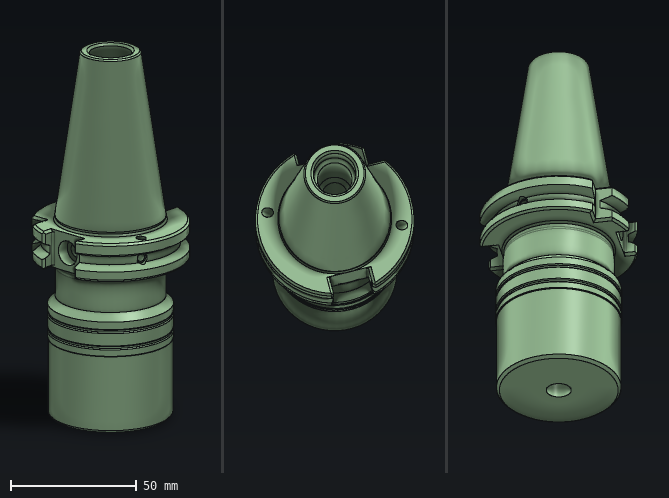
import cadquery as cq
import math


total_length = 153.2
taper_length = 68.3
taper_ratio = 7 / 24
gauge_diameter = 44.5
gauge_z = total_length - taper_length
taper_bottom_z = 84.0
small_end_chamfer = 0.6

flange_diameter = 63.6
flange_radius = flange_diameter / 2
flange_top_z = 82.1
flange_thickness = 16.1
flange_bottom_z = flange_top_z - flange_thickness
flange_chamfer = 0.9
flange_root_diameter = 45.5
relief_diameter = 44.0
relief_flare_height = 0.9
groove_diameter = 56.0
groove_center_z = 73.9
groove_floor_width = 3.4
groove_mouth_width = 7.0

neck_diameter = 44.5
neck_relief_end_z = 63.6
neck_top_z = 62.5
shoulder_top_z = 50.1
shoulder_bottom_z = 47.0

collar_diameter = 50.5
collar_bottom_z = 32.6
nose_diameter = 50.0
nose_chamfer = 1.2
ring_groove_depth = 0.5
ring_groove_mouth_width = 1.7
ring_groove_floor_width = 0.8
ring_groove_centers_z = (43.0, 36.2)

entry_diameter = 19.0
counterbore_diameter = 17.0
counterbore_depth = 8.0
thread_diameter = 13.8
thread_depth = 32.2
bore_diameter = 10.0
drill_point_angle = 118
countersink_angle = 90

slot_width = 16.1
front_slot_floor_distance = 25.1
back_slot_floor_distance = 22.7
slot_corner_radius = 0.8
cut_edge_chamfer = 1.0
notch_wall_distance = 18.8

pocket_diameter = 10.1
pocket_depth = 5.2
pocket_drill_diameter = 6.0

coolant_diameter = 3.8
coolant_tilt = 35
coolant_pitch_radius = 27.0
coolant_angles = (160, 340)
outlet_diameter = 4.5
outlet_depth = 1.2
outlet_drill_diameter = 3.2


def revolve_profile(points):
    """Revolve an (r, z) outline about the Z axis."""
    return cq.Workplane("XZ").polyline(points).close().revolve(360, (0, 0), (0, 1))


def cone_height(large_diameter, small_diameter, full_angle):
    """Axial length of a cone between two diameters."""
    return (large_diameter - small_diameter) / 2 / math.tan(math.radians(full_angle / 2))


def taper_radius(z):
    return (gauge_diameter - taper_ratio * (z - gauge_z)) / 2


def make_turned_body():
    chamfer_z = total_length - small_end_chamfer
    step = (collar_diameter - nose_diameter) / 2
    points = [
        (0, 0),
        (nose_diameter / 2 - nose_chamfer, 0),
        (nose_diameter / 2, nose_chamfer),
        (nose_diameter / 2, collar_bottom_z - step),
        (collar_diameter / 2, collar_bottom_z),
        (collar_diameter / 2, shoulder_bottom_z),
        (neck_diameter / 2, shoulder_top_z),
        (neck_diameter / 2, neck_top_z),
        (relief_diameter / 2, neck_relief_end_z),
        (relief_diameter / 2, flange_bottom_z - relief_flare_height),
        (flange_root_diameter / 2, flange_bottom_z),
        (flange_radius - flange_chamfer, flange_bottom_z),
        (flange_radius, flange_bottom_z + flange_chamfer),
        (flange_radius, flange_top_z - flange_chamfer),
        (flange_radius - flange_chamfer, flange_top_z),
        (flange_root_diameter / 2, flange_top_z),
        (relief_diameter / 2, flange_top_z + relief_flare_height),
        (taper_radius(taper_bottom_z), taper_bottom_z),
        (taper_radius(chamfer_z), chamfer_z),
        (taper_radius(chamfer_z) - small_end_chamfer, total_length),
        (0, total_length),
    ]
    return revolve_profile(points)


def make_ring_cut(center_z, floor_radius, rim_radius, floor_width, mouth_width):
    """Ring with sloped flanks that cuts a groove open to the outside."""
    points = [
        (floor_radius, center_z - floor_width / 2),
        (rim_radius, center_z - mouth_width / 2),
        (rim_radius, center_z + mouth_width / 2),
        (floor_radius, center_z + floor_width / 2),
    ]
    return revolve_profile(points)


def make_bore():
    counterbore_z = total_length - counterbore_depth
    thread_bottom_z = total_length - thread_depth
    entry_z = total_length - cone_height(entry_diameter, counterbore_diameter, countersink_angle)
    thread_top_z = counterbore_z - cone_height(counterbore_diameter, thread_diameter, countersink_angle)
    drill_end_z = thread_bottom_z - cone_height(thread_diameter, bore_diameter, drill_point_angle)
    points = [
        (0, 0),
        (bore_diameter / 2, 0),
        (bore_diameter / 2, drill_end_z),
        (thread_diameter / 2, thread_bottom_z),
        (thread_diameter / 2, thread_top_z),
        (counterbore_diameter / 2, counterbore_z),
        (counterbore_diameter / 2, entry_z),
        (entry_diameter / 2, total_length),
        (0, total_length),
    ]
    return revolve_profile(points)


def make_slot_cut(floor_distance):
    """Slot on the -Y side: rounded floor corners, walls chamfered at every outer edge."""
    half_width = slot_width / 2
    flared_half_width = half_width + cut_edge_chamfer
    length = flange_diameter - floor_distance
    slot = (
        cq.Workplane("XY")
        .box(slot_width, length, flange_thickness, centered=(True, False, False))
        .edges(">Y and |Z")
        .fillet(slot_corner_radius)
        .translate((0, -floor_distance - length, flange_bottom_z))
    )

    for edge_z, inward in ((flange_top_z, -1), (flange_bottom_z, 1)):
        flare = (
            cq.Workplane("XZ", origin=(0, -floor_distance, 0))
            .polyline([
                (-flared_half_width, edge_z),
                (flared_half_width, edge_z),
                (half_width, edge_z + inward * cut_edge_chamfer),
                (-half_width, edge_z + inward * cut_edge_chamfer),
            ])
            .close()
            .extrude(length)
        )
        slot = slot.union(flare)

    rim_y = -math.sqrt(flange_radius**2 - flared_half_width**2)
    mouth = (
        cq.Workplane("XY", origin=(0, 0, flange_bottom_z))
        .polyline([
            (-half_width, rim_y + cut_edge_chamfer),
            (half_width, rim_y + cut_edge_chamfer),
            (flared_half_width, rim_y),
            (flared_half_width, -flange_radius),
            (-flared_half_width, -flange_radius),
            (-flared_half_width, rim_y),
        ])
        .close()
        .extrude(flange_thickness)
    )
    return slot.union(mouth)


def make_notch_cut():
    """Square corner notch at -X -Y, chamfered along its top and bottom edges."""
    size = flange_diameter - notch_wall_distance
    center = -notch_wall_distance - size / 2
    notch = (
        cq.Workplane("XY", origin=(center, center, flange_bottom_z))
        .rect(size, size)
        .extrude(flange_thickness)
    )
    for edge_z, inward in ((flange_top_z, -1), (flange_bottom_z, 1)):
        flared_size = size + 2 * cut_edge_chamfer
        flare = (
            cq.Workplane("XY", origin=(center, center, edge_z))
            .rect(flared_size, flared_size)
            .workplane(offset=inward * cut_edge_chamfer)
            .rect(size, size)
            .loft()
        )
        notch = notch.union(flare)
    return notch


def make_pocket():
    """Flat-bottomed hole into the front slot floor, ending in a drill point."""
    drill_depth = pocket_depth + cone_height(pocket_drill_diameter, 0, drill_point_angle)
    pocket = revolve_profile([
        (0, 0),
        (pocket_diameter / 2, 0),
        (pocket_diameter / 2, pocket_depth),
        (pocket_drill_diameter / 2, pocket_depth),
        (0, drill_depth),
    ])
    return pocket.rotate((0, 0, 0), (1, 0, 0), -90).translate((0, -front_slot_floor_distance, groove_center_z))


def make_coolant_hole(angle):
    """Hole inclined inward from the flange top, met by a stepped radial hole from the V groove."""
    drop = flange_top_z - groove_center_z
    tilt = math.radians(coolant_tilt)
    meeting_radius = coolant_pitch_radius - drop * math.tan(tilt)
    length = drop / math.cos(tilt)
    inclined = (
        cq.Workplane("XY")
        .circle(coolant_diameter / 2)
        .extrude(2 * length)
        .rotate((0, 0, 0), (0, 1, 0), coolant_tilt)
        .translate((meeting_radius, 0, groove_center_z))
    )
    drill = (
        cq.Workplane("YZ", origin=(meeting_radius, 0, groove_center_z))
        .circle(outlet_drill_diameter / 2)
        .extrude(flange_radius - meeting_radius)
    )
    outlet = (
        cq.Workplane("YZ", origin=(groove_diameter / 2 - outlet_depth, 0, groove_center_z))
        .circle(outlet_diameter / 2)
        .extrude(flange_radius - groove_diameter / 2 + outlet_depth)
    )
    return inclined.union(drill).union(outlet).rotate((0, 0, 0), (0, 0, 1), angle)


result = make_turned_body().cut(make_bore())

result = result.cut(
    make_ring_cut(groove_center_z, groove_diameter / 2, flange_radius, groove_floor_width, groove_mouth_width)
)
collar_radius = collar_diameter / 2
for ring_z in ring_groove_centers_z:
    result = result.cut(
        make_ring_cut(
            ring_z,
            collar_radius - ring_groove_depth,
            collar_radius,
            ring_groove_floor_width,
            ring_groove_mouth_width,
        )
    )

result = result.cut(make_slot_cut(front_slot_floor_distance))
result = result.cut(make_slot_cut(back_slot_floor_distance).rotate((0, 0, 0), (0, 0, 1), 180))
result = result.cut(make_notch_cut())
result = result.cut(make_pocket())
for coolant_angle in coolant_angles:
    result = result.cut(make_coolant_hole(coolant_angle))